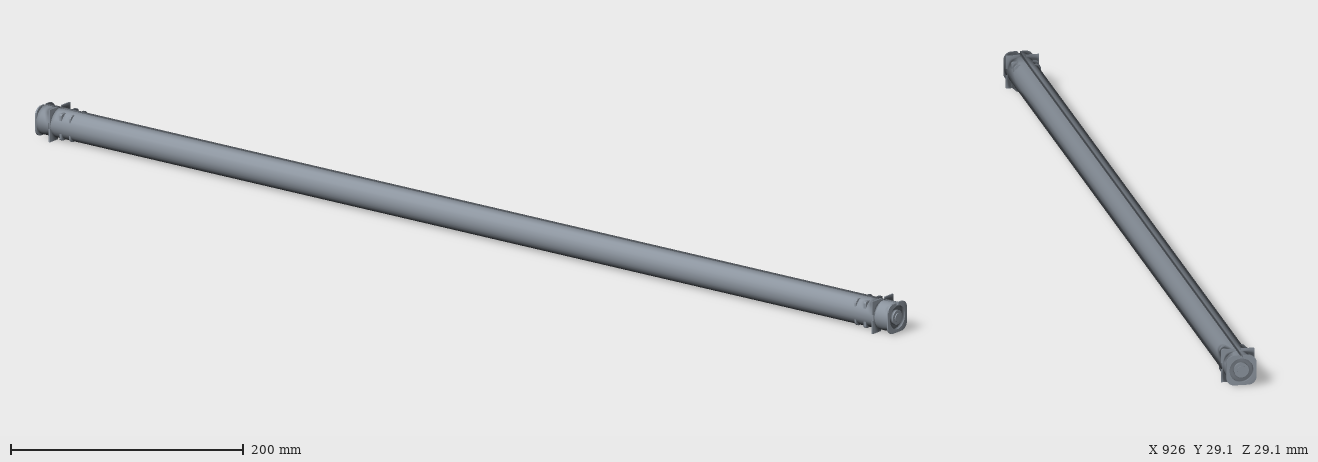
import cadquery as cq

overall_length = 925.96
half_length = overall_length / 2
tube_radius = 13.25
rod_diameter = 8
groove_width = 2.4
groove_depth = 2

rod_overhang = 1
end_plate_side = 2 * tube_radius
end_plate_corner = 7
end_plate_thickness = 1.5
sleeve_end = 15.4
neck_diameter = 25
flange_start = 16.8
flange_side = 29.14
flange_thickness = 1.2
flange_end = flange_start + flange_thickness
flange_notch_width = 5.58
flange_notch_floor = tube_radius
recess_inner_diameter = 13
recess_outer_diameter = 21
recess_depth = 3

inner_tab_start = 26.2
inner_tab_thickness = 2.6
inner_tab_corner = 2
outer_tab_start = 36.8
outer_tab_thickness = 1.5
outer_tab_corner = 4
tab_side = 23.8


def cylinder(start, end, diameter):
    """Cylinder on the X axis; start and end are distances from the -X rod end."""
    plane = cq.Workplane("YZ").workplane(offset=start - half_length)
    return plane.circle(diameter / 2).extrude(end - start)


def square_plate(start, thickness, side):
    """Square plate centred on the X axis."""
    plane = cq.Workplane("YZ").workplane(offset=start - half_length)
    return plane.rect(side, side).extrude(thickness)


def rounded_plate(start, thickness, side, corner):
    """Square plate with its four corners rounded."""
    return square_plate(start, thickness, side).edges("|X").fillet(corner)


def make_groove():
    """Slot along the top of the tube and both caps."""
    floor = tube_radius - groove_depth
    return cq.Workplane("XY").box(
        overall_length, groove_width, tube_radius, centered=(True, True, False)
    ).translate((0, 0, floor))


def make_rod():
    """Round rod through the tube and both caps."""
    return cylinder(0, overall_length, rod_diameter)


def make_tube():
    """Grooved tube with two sets of corner tabs near each end."""
    tube = cylinder(flange_end, overall_length - flange_end, 2 * tube_radius)
    inner_tabs = rounded_plate(inner_tab_start, inner_tab_thickness, tab_side, inner_tab_corner)
    outer_tabs = rounded_plate(outer_tab_start, outer_tab_thickness, tab_side, outer_tab_corner)
    for tabs in (inner_tabs, outer_tabs):
        tube = tube.union(tabs).union(tabs.mirror("YZ"))
    return tube.cut(make_groove()).cut(make_rod())


def make_flange():
    """Square flange with a notch in the middle of each side."""
    flange = square_plate(flange_start, flange_thickness, flange_side)
    notch = cq.Workplane("XY").box(
        overall_length, flange_notch_width, flange_side, centered=(True, True, False)
    ).translate((0, 0, flange_notch_floor))
    for side in range(4):
        flange = flange.cut(notch.rotate((0, 0, 0), (1, 0, 0), 90 * side))
    return flange


def make_cap():
    """Cap at the -X end: end plate, sleeve, neck and flange, with a ring recess in its face."""
    cap = cylinder(rod_overhang, sleeve_end, 2 * tube_radius)
    cap = cap.union(rounded_plate(rod_overhang, end_plate_thickness, end_plate_side, end_plate_corner))
    cap = cap.union(cylinder(sleeve_end, flange_start, neck_diameter))
    cap = cap.union(make_flange())
    recess_floor = rod_overhang + recess_depth
    recess = cylinder(rod_overhang, recess_floor, recess_outer_diameter)
    recess = recess.cut(cylinder(rod_overhang, recess_floor, recess_inner_diameter))
    return cap.cut(recess).cut(make_groove()).cut(make_rod())


tube = make_tube()
cap = make_cap()
rod = make_rod()
result = cq.Compound.makeCompound([tube.val(), cap.val(), cap.mirror("YZ").val(), rod.val()])